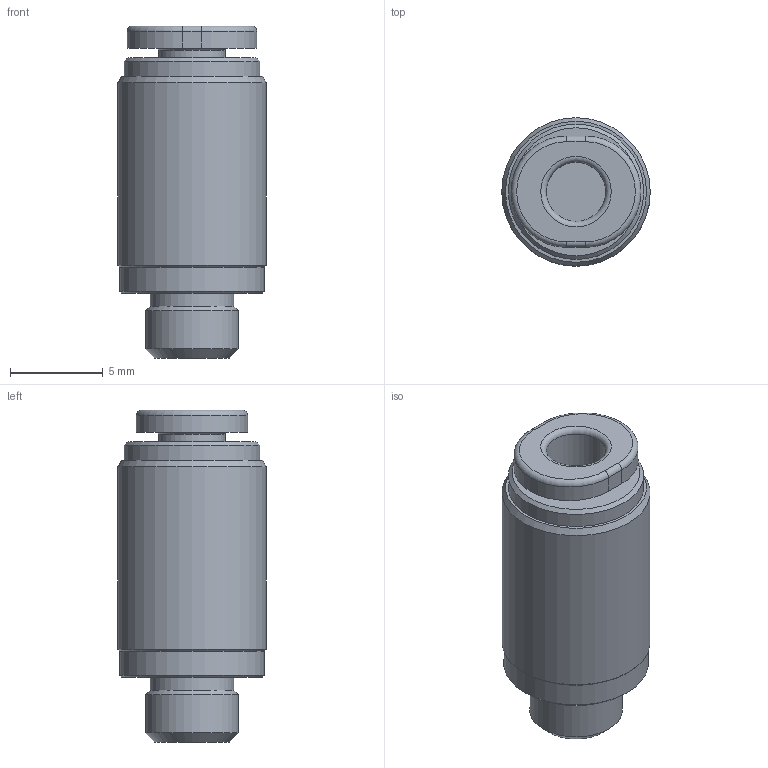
import cadquery as cq

total_height = 17.9
relief_bottom = 2.8
flange_bottom = 3.5
body_bottom = 4.9
collar_bottom = 15.2
collar_top = 16.2
button_thickness = 1.2
button_bottom = total_height - button_thickness

stud_radius = 2.5
relief_radius = 2.25
flange_radius = 3.9
body_radius = 4.0
collar_radius = 3.65
neck_radius = 1.8

stud_end_chamfer = 0.5
stud_top_chamfer = stud_radius - relief_radius
flange_chamfer = 0.1
body_bottom_chamfer = body_radius - flange_radius
body_top_chamfer_width = 0.2
body_top_chamfer_height = 0.35
collar_chamfer = 0.2
neck_flare = 0.1

button_length = 7.0
button_width = 6.0
button_fillet = 0.3
bore_radius = 1.6
bore_depth = 8.5
bore_mouth_fillet = 0.3


def make_turned_body():
    """Stud, thread relief, flange, main body, collar and neck as one revolved profile."""
    profile = [
        (0, 0),
        (stud_radius - stud_end_chamfer, 0),
        (stud_radius, stud_end_chamfer),
        (stud_radius, relief_bottom - stud_top_chamfer),
        (relief_radius, relief_bottom),
        (relief_radius, flange_bottom),
        (flange_radius - flange_chamfer, flange_bottom),
        (flange_radius, flange_bottom + flange_chamfer),
        (flange_radius, body_bottom),
        (body_radius, body_bottom + body_bottom_chamfer),
        (body_radius, collar_bottom - body_top_chamfer_height),
        (body_radius - body_top_chamfer_width, collar_bottom),
        (collar_radius, collar_bottom),
        (collar_radius, collar_top - collar_chamfer),
        (collar_radius - collar_chamfer, collar_top),
        (neck_radius, collar_top),
        (neck_radius, button_bottom - neck_flare),
        (neck_radius + neck_flare, button_bottom),
        (0, button_bottom),
    ]
    return cq.Workplane("XZ").polyline(profile).close().revolve(360, (0, 0, 0), (0, 1, 0))


def make_button():
    """Oblong release button with a rounded upper rim."""
    blank = cq.Workplane("XY").workplane(offset=button_bottom).slot2D(button_length, button_width)
    return blank.extrude(button_thickness).faces(">Z").edges().fillet(button_fillet)


def cut_bore(part):
    """Blind tube bore from the top, with a rounded mouth."""
    bored = part.cut(
        cq.Workplane("XY")
        .workplane(offset=total_height - bore_depth)
        .circle(bore_radius)
        .extrude(bore_depth)
    )
    mouth = bored.faces(">Z").edges(cq.selectors.RadiusNthSelector(0))
    return mouth.fillet(bore_mouth_fillet)


result = cut_bore(make_turned_body().union(make_button()))